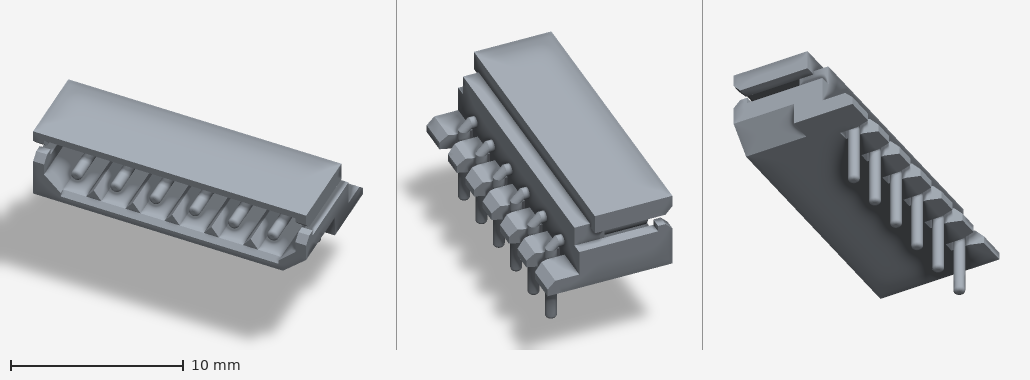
import cadquery as cq

LENGTH = 17.4
HALF_LENGTH = LENGTH / 2
TAIL_BACK = 7.9
WALL_BACK = 5.9
CAVITY_DEPTH = 4.0
SIDE_WALL = 0.7
HALF_CAVITY = HALF_LENGTH - SIDE_WALL

FLOOR_TOP = 0.7
SIDE_WALL_TOP = 2.6
BACK_WALL_TOP = 3.88
TAIL_TOP = 0.97
TAIL_CHAMFER = 0.49
LUG_DEPTH = 0.9
LUG_TOP = 2.98
LUG_CHAMFER = 0.44
CAVITY_CHAMFER = 1.06
LIP_CHAMFER_HEIGHT = 0.26
LIP_CHAMFER_DEPTH = 0.35
KEY_BEVEL_WIDTH = 1.48
KEY_BEVEL_HEIGHT = 1.41

LID_TOP = 4.89
LID_BACK = 4.9
RAIL_BOTTOM = 3.65
LID_CEILING = 4.14
RAIL_CHAMFER_DEPTH = 0.44
CEILING_CHAMFER = 0.28

PIN_COUNT = 6
PIN_DIAMETER = 0.7
PIN_RADIUS = PIN_DIAMETER / 2
PIN_END_MARGIN = 2.45
PIN_PITCH = (LENGTH - 2 * PIN_END_MARGIN) / (PIN_COUNT - 1)
PIN_HEIGHT = 1.81
PIN_FRONT = 0.55
PIN_LEG_Y = 6.61
PIN_BOTTOM = -3.51
PIN_TIP_FILLET = 0.2
PIN_X = [-HALF_LENGTH + PIN_END_MARGIN + i * PIN_PITCH for i in range(PIN_COUNT)]

RIB_HALF_WIDTH = 0.49
RIB_TOP = 1.35
SLOT_FLARE_START = 7.05
SLOT_MOUTH_WIDTH = 1.22


def extrude_x(points, x_start, x_end):
    """Prism of a (Y, Z) outline between two X positions."""
    return cq.Workplane("YZ").workplane(offset=x_start).polyline(points).close().extrude(x_end - x_start)


def extrude_y(points, y_start, y_end):
    """Prism of an (X, Z) outline between two Y positions."""
    return cq.Workplane("XZ").workplane(offset=-y_start).polyline(points).close().extrude(y_start - y_end)


def make_tray():
    """Side walls with latch lugs, floor and tail as one profile along the full length."""
    profile = [
        (0, 0),
        (TAIL_BACK, 0),
        (TAIL_BACK, TAIL_TOP - TAIL_CHAMFER),
        (TAIL_BACK - TAIL_CHAMFER, TAIL_TOP),
        (WALL_BACK, TAIL_TOP),
        (WALL_BACK, SIDE_WALL_TOP),
        (LUG_DEPTH, SIDE_WALL_TOP),
        (LUG_DEPTH, LUG_TOP),
        (LUG_CHAMFER, LUG_TOP),
        (0, LUG_TOP - LUG_CHAMFER),
    ]
    return extrude_x(profile, -HALF_LENGTH, HALF_LENGTH)


def make_cavity():
    """Mating cavity with sloped lower corners, open at the front and the top."""
    half_floor = HALF_CAVITY - CAVITY_CHAMFER
    section = [
        (-half_floor, FLOOR_TOP),
        (half_floor, FLOOR_TOP),
        (HALF_CAVITY, FLOOR_TOP + CAVITY_CHAMFER),
        (HALF_CAVITY, LID_CEILING),
        (-HALF_CAVITY, LID_CEILING),
        (-HALF_CAVITY, FLOOR_TOP + CAVITY_CHAMFER),
    ]
    lead_in = [
        (0, FLOOR_TOP),
        (0, FLOOR_TOP - LIP_CHAMFER_HEIGHT),
        (LIP_CHAMFER_DEPTH, FLOOR_TOP),
    ]
    return extrude_y(section, 0, CAVITY_DEPTH).union(extrude_x(lead_in, -half_floor, half_floor))


def make_back_wall():
    return extrude_x(
        [(CAVITY_DEPTH, 0), (WALL_BACK, 0), (WALL_BACK, BACK_WALL_TOP), (CAVITY_DEPTH, BACK_WALL_TOP)],
        -HALF_CAVITY,
        HALF_CAVITY,
    )


def make_lid():
    """Lid with a rail under each end and a recessed ceiling over the cavity."""
    rail_profile = [
        (RAIL_CHAMFER_DEPTH, RAIL_BOTTOM),
        (LID_BACK, RAIL_BOTTOM),
        (LID_BACK, LID_TOP),
        (0, LID_TOP),
        (0, LID_CEILING),
    ]
    recess_profile = [
        (0, RAIL_BOTTOM),
        (CAVITY_DEPTH, RAIL_BOTTOM),
        (CAVITY_DEPTH, LID_CEILING),
        (CEILING_CHAMFER, LID_CEILING),
        (0, LID_CEILING + CEILING_CHAMFER),
    ]
    lid = extrude_x(rail_profile, -HALF_LENGTH, HALF_LENGTH)
    return lid.cut(extrude_x(recess_profile, -HALF_CAVITY, HALF_CAVITY))


def make_rib(x):
    """Triangular rib on the cavity floor, from the lip chamfer to the back wall."""
    section = [(x - RIB_HALF_WIDTH, FLOOR_TOP), (x + RIB_HALF_WIDTH, FLOOR_TOP), (x, RIB_TOP)]
    return extrude_y(section, LIP_CHAMFER_DEPTH, CAVITY_DEPTH)


def make_tail_slot(x):
    """Slot through the tail that holds a pin leg and flares toward the back edge."""
    half_mouth = SLOT_MOUTH_WIDTH / 2
    outline = [
        (x - PIN_RADIUS, WALL_BACK),
        (x + PIN_RADIUS, WALL_BACK),
        (x + PIN_RADIUS, SLOT_FLARE_START),
        (x + half_mouth, TAIL_BACK),
        (x - half_mouth, TAIL_BACK),
        (x - PIN_RADIUS, SLOT_FLARE_START),
    ]
    return cq.Workplane("XY").polyline(outline).close().extrude(TAIL_TOP)


def make_pin_hole(x):
    """Round hole through the back wall for one pin."""
    hole = cq.Workplane("XZ", origin=(x, CAVITY_DEPTH, PIN_HEIGHT)).circle(PIN_RADIUS)
    return hole.extrude(CAVITY_DEPTH - WALL_BACK)


def make_key_bevel():
    """Bevel on the lower +X corner, along the depth of the cavity."""
    section = [
        (HALF_LENGTH - KEY_BEVEL_WIDTH, 0),
        (HALF_LENGTH, 0),
        (HALF_LENGTH, KEY_BEVEL_HEIGHT),
    ]
    return extrude_y(section, 0, CAVITY_DEPTH)


def make_housing():
    body = make_tray().cut(make_cavity()).union(make_back_wall()).union(make_lid())
    for left, right in zip(PIN_X, PIN_X[1:]):
        body = body.union(make_rib((left + right) / 2))
    for x in PIN_X:
        body = body.cut(make_tail_slot(x)).cut(make_pin_hole(x))
    return body.cut(make_key_bevel()).solids()


def make_pin(x):
    """Right-angle pin: round contact and leg joined by an oblique elbow, with rounded tips."""
    elbow_front = PIN_LEG_Y - PIN_RADIUS
    elbow_bottom = PIN_HEIGHT - PIN_RADIUS

    contact = cq.Workplane("XZ", origin=(x, PIN_FRONT, PIN_HEIGHT)).circle(PIN_RADIUS)
    contact = contact.extrude(PIN_FRONT - elbow_front).faces("<Y").edges().fillet(PIN_TIP_FILLET)

    leg = cq.Workplane("XY", origin=(x, PIN_LEG_Y, PIN_BOTTOM)).circle(PIN_RADIUS)
    leg = leg.extrude(elbow_bottom - PIN_BOTTOM).faces("<Z").edges().fillet(PIN_TIP_FILLET)

    leg_end = cq.Wire.makeCircle(PIN_RADIUS, cq.Vector(x, PIN_LEG_Y, elbow_bottom), cq.Vector(0, 0, 1))
    diagonal = cq.Vector(0, -PIN_DIAMETER, PIN_DIAMETER)
    trim = cq.Workplane("XY", origin=(x, elbow_front, elbow_bottom)).box(
        PIN_DIAMETER, PIN_DIAMETER, PIN_DIAMETER, centered=(True, False, False)
    )
    elbow = trim.intersect(cq.Workplane(cq.Solid.extrudeLinear(leg_end, [], diagonal)))

    return leg.union(elbow).union(contact).solids()


housing = make_housing()
pins = [make_pin(x) for x in PIN_X]

result = cq.Compound.makeCompound([housing.val(), *[pin.val() for pin in pins]])